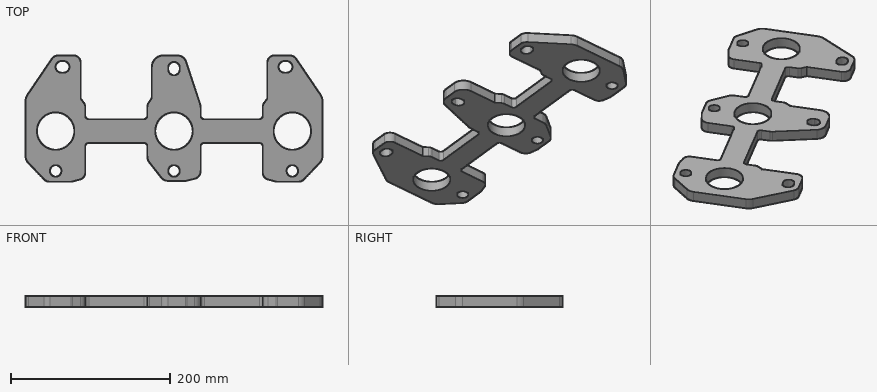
import cadquery as cq
import math

length = 373.0
thickness = 14.0
top_y = 95.0
bottom_y = top_y - 159.0
port_spacing = 148.5
port_diameter = 46.5

web_width = 30.2
web_fillet = 4.0
web_end_x = 111.2
middle_half_width = 33.5
middle_bottom_y = -62.7

bolt_diameter = 14.0
lower_bolt_y = -50.0
end_upper_bolt = (-140.0, 80.5)
end_slot_length = 17.0
middle_upper_bolt = (0, 78.5)
middle_slot_length = 16.5


def rounded_plate(corners):
    """Extrude a polygon of (x, y, corner radius); radius 0 leaves a sharp corner."""
    path = None
    for index, (x, y, radius) in enumerate(corners):
        before = cq.Vector(*corners[index - 1][:2])
        after = cq.Vector(*corners[(index + 1) % len(corners)][:2])
        corner = cq.Vector(x, y)
        to_before = (before - corner).normalized()
        to_after = (after - corner).normalized()
        half_angle = to_before.getAngle(to_after) / 2
        setback = radius / math.tan(half_angle)
        start = corner + to_before * setback
        if path is None:
            path = cq.Workplane("XY").moveTo(start.x, start.y)
        else:
            path = path.lineTo(start.x, start.y)
        if radius > 0:
            bisector = (to_before + to_after).normalized()
            middle = corner + bisector * (radius / math.sin(half_angle) - radius)
            end = corner + to_after * setback
            path = path.threePointArc((middle.x, middle.y), (end.x, end.y))
    return path.close().extrude(thickness)


def through_slot(center, slot_length, angle=0):
    return cq.Workplane("XY").center(*center).slot2D(slot_length, bolt_diameter, angle).extrude(thickness)


def round_holes(x):
    """Port and lower bolt hole of the flange centred on x."""
    port = cq.Workplane("XY").center(x, 0).circle(port_diameter / 2).extrude(thickness)
    bolt = cq.Workplane("XY").center(x, lower_bolt_y).circle(bolt_diameter / 2).extrude(thickness)
    return port.union(bolt)


left_flange = rounded_plate([
    (-length / 2, -36.2, 13.0),
    (-length / 2, 41.8, 15.0),
    (-150.5, top_y, 10.5),
    (-116.8, top_y, 9.7),
    (-116.8, 40.5, 0),
    (-web_end_x, 33.0, 7.5),
    (-web_end_x, -59.0, 9.0),
    (-128.7, bottom_y, 7.5),
    (-160.0, bottom_y, 10.5),
])
left_flange = left_flange.cut(through_slot(end_upper_bolt, end_slot_length)).cut(round_holes(-port_spacing))

middle_flange = rounded_plate([
    (-middle_half_width, -36.2, 13.0),
    (-middle_half_width, 33.2, 7.5),
    (-28.0, 41.5, 0),
    (-28.0, top_y, 15.0),
    (12.7, top_y, 12.5),
    (middle_half_width, 31.7, 11.2),
    (middle_half_width, -58.2, 10.5),
    (15.0, middle_bottom_y, 7.5),
    (-12.7, middle_bottom_y, 10.5),
])
middle_flange = middle_flange.cut(through_slot(middle_upper_bolt, middle_slot_length, 90)).cut(round_holes(0))

web_length = web_end_x - middle_half_width
web_center_x = -(web_end_x + middle_half_width) / 2
left_web = cq.Workplane("XY").box(web_length, web_width, thickness, centered=(True, True, False))
left_web = left_web.translate((web_center_x, 0, 0))

left_side = left_flange.union(left_web)
plate = middle_flange.union(left_side).union(left_side.mirror("YZ"))

tolerance = 0.5
for x in (-web_end_x, -middle_half_width, middle_half_width, web_end_x):
    for y in (-web_width / 2, web_width / 2):
        corner_box = cq.selectors.BoxSelector(
            (x - tolerance, y - tolerance, 0),
            (x + tolerance, y + tolerance, thickness),
        )
        plate = plate.edges("|Z").edges(corner_box).fillet(web_fillet)

result = plate